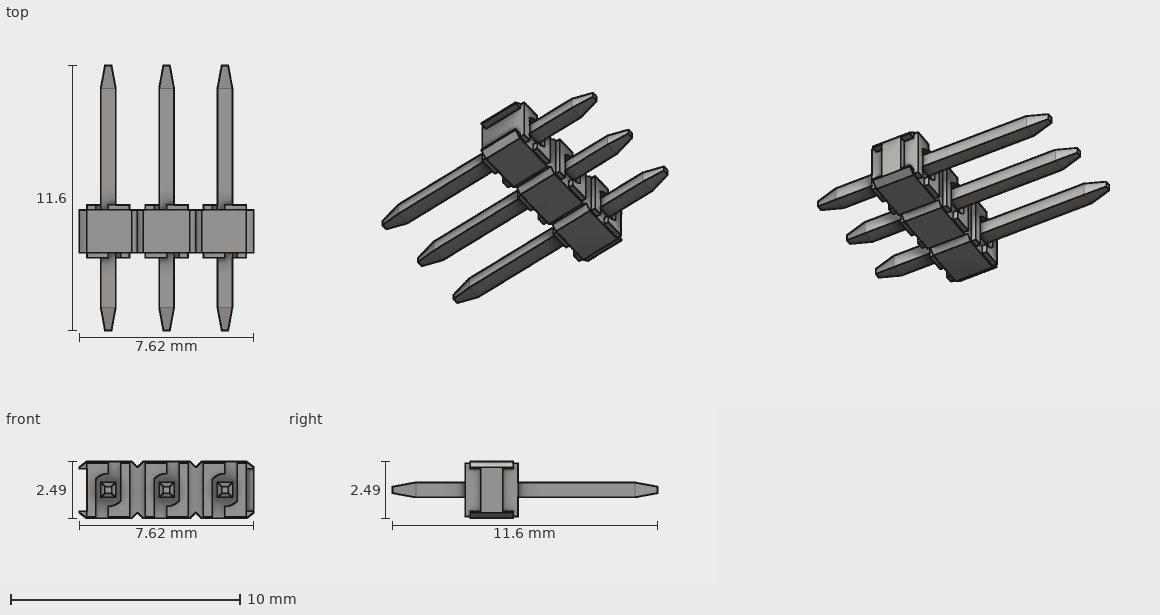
import cadquery as cq
import math

pin_count = 3
pitch = 2.54
body_length = 7.62
body_height = 2.49
body_front = -2.39
body_depth = 1.87
body_back = body_front + body_depth

pin_length = 11.56
pin_width = 0.66
tip_width = 0.29
tip_length = 1.0

pad_thickness = 0.22
pad_half_width = 0.94
pad_half_height = 1.17
pad_inner_x = 0.54
pad_arc_radius = 0.72

notch_size = 0.25
lip_drop = 0.25
lip_edge = 0.07
tab_recess = 0.46

half_length = body_length / 2
half_height = body_height / 2
core_half_length = (pin_count - 1) * pitch / 2 + pad_half_width
lip_reach = half_length - core_half_length
lip_height = lip_drop + lip_edge
pocket_height = body_height - 2 * lip_height
pin_positions = [(i - (pin_count - 1) / 2) * pitch for i in range(pin_count)]


def extrude_y(sketch, y_start, depth):
    """Extrude an XZ outline towards +Y, starting at y_start."""
    return sketch.extrude(-depth).translate((0, y_start, 0))


def make_body():
    """Housing block with sloped ends, V notches and recessed ends between the lips."""
    shoulder_z = half_height - lip_drop
    outline = cq.Workplane("XZ").polyline([
        (-core_half_length, half_height),
        (core_half_length, half_height),
        (half_length, shoulder_z),
        (half_length, -shoulder_z),
        (core_half_length, -half_height),
        (-core_half_length, -half_height),
        (-half_length, -shoulder_z),
        (-half_length, shoulder_z),
    ]).close()
    body = extrude_y(outline, body_front, body_depth)

    for left_x in pin_positions[:-1]:
        notch_x = left_x + pitch / 2
        for side in (1, -1):
            notch = cq.Workplane("XZ").polyline([
                (notch_x - notch_size, side * half_height),
                (notch_x + notch_size, side * half_height),
                (notch_x, side * (half_height - notch_size)),
            ]).close()
            body = body.cut(extrude_y(notch, body_front, body_depth))

    end_center_x = core_half_length + lip_reach / 2
    pocket = cq.Workplane("XZ").center(-end_center_x, 0).rect(lip_reach, pocket_height)
    body = body.cut(extrude_y(pocket, body_front, body_depth))

    for recess_start in (body_front, body_back - tab_recess):
        recess = cq.Workplane("XZ").center(end_center_x, 0).rect(lip_reach, pocket_height)
        body = body.cut(extrude_y(recess, recess_start, tab_recess))
    return body


def make_pad_pair(y_start):
    """Two hooked pads, half a turn apart about a pin axis at X = 0."""
    arc_end_z = math.sqrt(pad_arc_radius**2 - pad_inner_x**2)
    middle_angle = (math.pi / 2 + math.atan2(arc_end_z, -pad_inner_x)) / 2
    arc_middle = (pad_arc_radius * math.cos(middle_angle), pad_arc_radius * math.sin(middle_angle))
    outline = (
        cq.Workplane("XZ")
        .moveTo(-pad_half_width, -pad_half_height)
        .lineTo(-pad_half_width, pad_half_height)
        .lineTo(0, pad_half_height)
        .lineTo(0, pad_arc_radius)
        .threePointArc(arc_middle, (-pad_inner_x, arc_end_z))
        .lineTo(-pad_inner_x, -pad_half_height)
        .close()
    )
    pad = extrude_y(outline, y_start, pad_thickness)
    return pad.add(pad.rotate((0, 0, 0), (0, 1, 0), 180)).combine()


def make_pin():
    """Square pin along Y with a tapered tip at each end."""
    shaft_end = pin_length / 2 - tip_length
    pin = cq.Workplane("XY").box(pin_width, 2 * shaft_end, pin_width)
    for face in ("<Y", ">Y"):
        tip = (
            pin.faces(face).workplane(centerOption="CenterOfMass")
            .rect(pin_width, pin_width)
            .workplane(offset=tip_length)
            .rect(tip_width, tip_width)
            .loft(combine=False)
        )
        pin = pin.union(tip)
    return pin


front_pads = make_pad_pair(body_front - pad_thickness)
back_pads = make_pad_pair(-body_back - pad_thickness).rotate((0, 0, 0), (0, 0, 1), 180)
pin = make_pin()

result = make_body()
for x in pin_positions:
    for feature in (front_pads, back_pads, pin):
        result = result.union(feature.translate((x, 0, 0)))